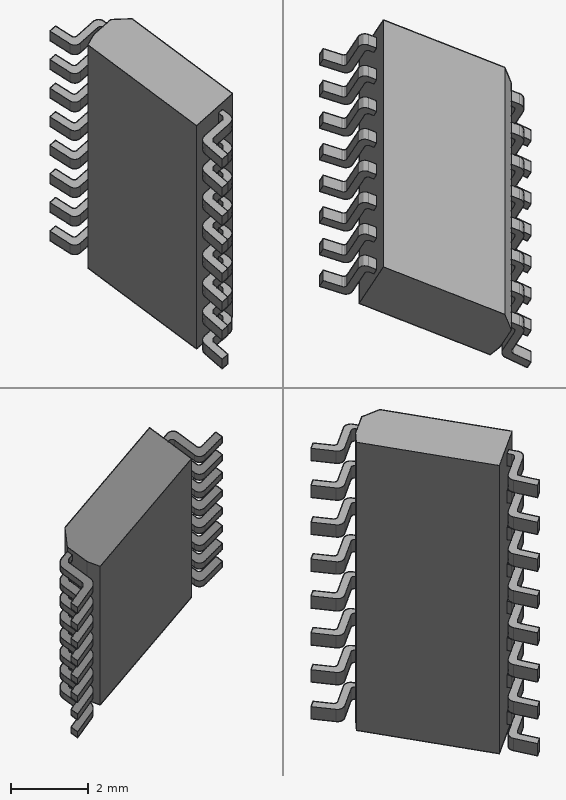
import cadquery as cq
import math


overall_width = 6.0
overall_depth = 1.55
body_length = 9.9

body_width = 3.89
body_depth = 1.38
back_chamfer = 0.39
bevel_depth = 0.35
bevel_angle = 17.0

leads_per_side = 8
lead_pitch = 1.27
lead_width = 0.43
shoulder_thickness = 0.16
lead_thickness = 0.22
upright_reach = 0.22
foot_angle = 4.5
outer_bend_radius = 0.2
inner_bend_radius = 0.1
root_depth = 0.1

half_body = body_width / 2
half_overall = overall_width / 2
back_y = overall_depth / 2
front_y = back_y - body_depth
tip_y = -overall_depth / 2


def make_body():
    bevel_width = bevel_depth * math.tan(math.radians(bevel_angle))
    outline = [
        (-half_body + back_chamfer, back_y),
        (half_body, back_y),
        (half_body, front_y),
        (-half_body + bevel_width, front_y),
        (-half_body, front_y + bevel_depth),
        (-half_body, back_y - back_chamfer),
    ]
    return cq.Workplane("XY").polyline(outline).close().extrude(body_length / 2, both=True)


def make_lead():
    """One gull-wing lead on the +X side, centred on Z = 0."""
    shoulder_y = back_y - back_chamfer
    under_y = shoulder_y - shoulder_thickness
    inner_x = half_body + upright_reach
    outer_x = inner_x + lead_thickness
    root_x = half_body - root_depth
    slope = math.tan(math.radians(foot_angle))
    foot_under_y = tip_y + slope * (half_overall - inner_x)
    foot_top_y = tip_y + lead_thickness + slope * (half_overall - outer_x)

    outline = [
        (root_x, shoulder_y),
        (outer_x, shoulder_y),
        (outer_x, foot_top_y),
        (half_overall, tip_y + lead_thickness),
        (half_overall, tip_y),
        (inner_x, foot_under_y),
        (inner_x, under_y),
        (root_x, under_y),
    ]
    lead = cq.Workplane("XY").polyline(outline).close().extrude(lead_width / 2, both=True)

    def bend(x, y):
        return cq.selectors.NearestToPointSelector((x, y, 0))

    lead = lead.edges(bend(outer_x, shoulder_y)).fillet(outer_bend_radius)
    lead = lead.edges(bend(inner_x, foot_under_y)).fillet(outer_bend_radius)
    lead = lead.edges(bend(outer_x, foot_top_y)).fillet(inner_bend_radius)
    return lead.edges(bend(inner_x, under_y)).fillet(inner_bend_radius)


right_lead = make_lead()
left_lead = right_lead.mirror("YZ")

result = make_body()
for index in range(leads_per_side):
    lead_z = (index - (leads_per_side - 1) / 2) * lead_pitch
    for lead in (right_lead, left_lead):
        result = result.union(lead.translate((0, 0, lead_z)))